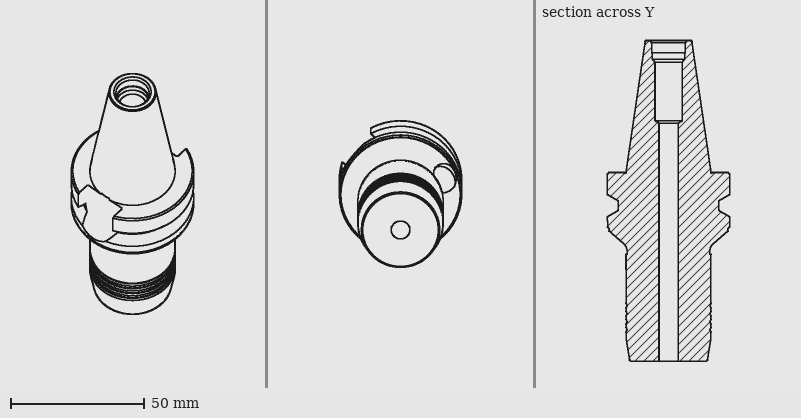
import cadquery as cq
import math

total_length = 120.4
flange_radius = 23.0

taper_bottom_z = 72.0
taper_foot_z = 71.3
taper_large_radius = 15.9
taper_ratio = 7 / 24
taper_end_chamfer = 0.4
taper_small_radius = taper_large_radius - (total_length - taper_bottom_z) * taper_ratio / 2

flange_top_z = 70.9
flange_chamfer = 0.6
relief_outer_radius = 17.3
relief_inner_radius = 16.0
relief_depth = 0.2
groove_center_z = 58.4
groove_floor_width = 3.6
groove_floor_radius = 19.0
groove_flank_angle = math.radians(30)
flange_bottom_z = 50.3
lip_bottom_z = 48.9
lip_radius = flange_radius - flange_chamfer

neck_radius = 15.7
neck_bottom_z = 40.2
under_cone_angle = math.radians(41)
neck_fillet = 3.0

body_radius = 16.0
grip_groove_count = 4
grip_groove_top_z = 21.8
grip_groove_pitch = 3.0
grip_groove_width = 1.8
grip_groove_depth = 0.4
tip_taper_z = 8.7
tip_radius = 14.7
tip_chamfer = 0.5

entry_radius = 7.0
entry_depth = 1.0
pilot_radius = 6.3
pilot_depth = 4.7
thread_radius = 6.0
thread_depth = 7.0
core_radius = 5.0
core_cone_depth = 1.2
core_depth = 30.1
coolant_radius = 3.5
drill_half_angle = math.radians(59)

slot_width = 17.1
slot_bottom_z = 52.1
slot_floor_y = 15.9
slot_fillet = 0.6

screw_hole_radius = 5.3
screw_hole_base = (-15.0, -8.1, 46.7)
screw_hole_length = 12.0


def revolve_profile(plane, profile):
    """Full turn of a closed (radius, height) outline about the plane's local Y axis."""
    return cq.Workplane(plane).polyline(profile).close().revolve(360, (0, 0, 0), (0, 1, 0))


def make_body():
    """Solid of revolution carrying every outside diameter."""
    flank_height = (flange_radius - groove_floor_radius) * math.tan(groove_flank_angle)
    groove_top_z = groove_center_z + groove_floor_width / 2
    groove_bottom_z = groove_center_z - groove_floor_width / 2
    under_cone_bottom_z = lip_bottom_z - (lip_radius - neck_radius) * math.tan(under_cone_angle)
    profile = [
        (0, 0),
        (tip_radius - tip_chamfer, 0),
        (tip_radius, tip_chamfer),
        (body_radius, tip_taper_z),
        (body_radius, neck_bottom_z),
        (neck_radius, neck_bottom_z),
        (neck_radius, under_cone_bottom_z),
        (lip_radius, lip_bottom_z),
        (lip_radius, flange_bottom_z - flange_chamfer),
        (flange_radius, flange_bottom_z),
        (flange_radius, groove_bottom_z - flank_height),
        (groove_floor_radius, groove_bottom_z),
        (groove_floor_radius, groove_top_z),
        (flange_radius, groove_top_z + flank_height),
        (flange_radius, flange_top_z - flange_chamfer),
        (flange_radius - flange_chamfer, flange_top_z),
        (relief_outer_radius, flange_top_z),
        (relief_inner_radius, flange_top_z - relief_depth),
        (taper_large_radius, taper_foot_z),
        (taper_large_radius, taper_bottom_z),
        (taper_small_radius, total_length - taper_end_chamfer),
        (taper_small_radius - taper_end_chamfer, total_length),
        (0, total_length),
    ]
    body = revolve_profile(cq.Plane.XZ(), profile)
    edge_margin = 0.1
    neck_edge = cq.selectors.BoxSelector(
        (-flange_radius, -flange_radius, under_cone_bottom_z - edge_margin),
        (flange_radius, flange_radius, under_cone_bottom_z + edge_margin),
        boundingbox=True,
    )
    return body.edges(neck_edge).fillet(neck_fillet)


def make_grip_groove(top_z):
    """V-shaped ring cut into the nose, starting at top_z and running down."""
    profile = [
        (body_radius, top_z),
        (body_radius - grip_groove_depth, top_z - grip_groove_width / 2),
        (body_radius, top_z - grip_groove_width),
    ]
    return revolve_profile(cq.Plane.XZ(), profile)


def make_bore():
    """Countersunk pilot, thread, core hole with a drilled end and through hole."""
    drill_tip_depth = (core_radius - coolant_radius) / math.tan(drill_half_angle)
    profile = [
        (0, total_length),
        (entry_radius, total_length),
        (pilot_radius, total_length - entry_depth),
        (pilot_radius, total_length - pilot_depth),
        (thread_radius, total_length - pilot_depth),
        (thread_radius, total_length - thread_depth),
        (core_radius, total_length - thread_depth - core_cone_depth),
        (core_radius, total_length - core_depth),
        (coolant_radius, total_length - core_depth - drill_tip_depth),
        (coolant_radius, 0),
        (0, 0),
    ]
    return revolve_profile(cq.Plane.XZ(), profile)


def make_drive_slot():
    """Round-ended slot on the -Y side, open at the top of the flange."""
    half_width = slot_width / 2
    arc_center_z = slot_bottom_z + half_width
    slot = (
        cq.Workplane("XZ", origin=(0, -slot_floor_y, 0))
        .moveTo(-half_width, total_length)
        .lineTo(-half_width, arc_center_z)
        .threePointArc((0, slot_bottom_z), (half_width, arc_center_z))
        .lineTo(half_width, total_length)
        .close()
        .extrude(flange_radius)
    )
    floor_edges = slot.faces(">Y").edges("not >Z")
    return floor_edges.fillet(slot_fillet)


def make_screw_hole():
    """Drilled hole rising inward at 45 degrees, with a conical end."""
    tip_height = screw_hole_radius / math.tan(drill_half_angle)
    profile = [
        (0, -screw_hole_length),
        (screw_hole_radius, -screw_hole_length),
        (screw_hole_radius, 0),
        (0, tip_height),
    ]
    axis_plane = cq.Plane(origin=screw_hole_base, xDir=(0, 1, 0), normal=(1, 0, -1))
    return revolve_profile(axis_plane, profile)


result = make_body().cut(make_bore())

for index in range(grip_groove_count):
    result = result.cut(make_grip_groove(grip_groove_top_z - index * grip_groove_pitch))

drive_slot = make_drive_slot()
for angle in (0, 180):
    result = result.cut(drive_slot.rotate((0, 0, 0), (0, 0, 1), angle))

result = result.cut(make_screw_hole())